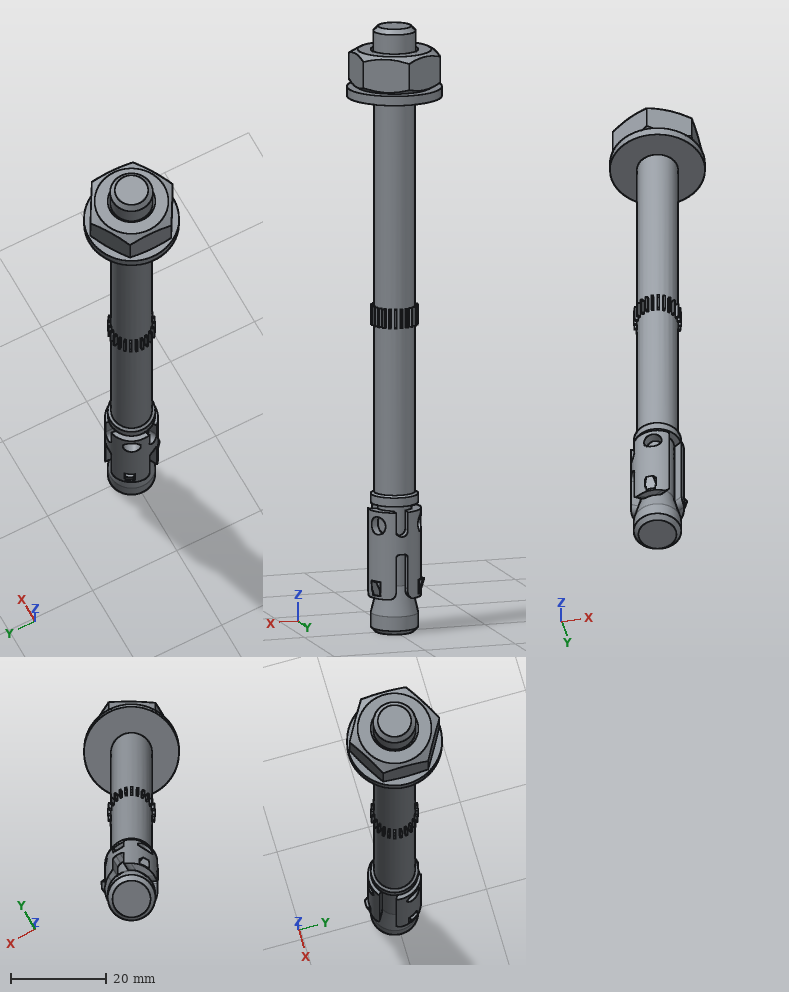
import cadquery as cq
import math

LENGTH = 130.0
SHAFT_DIA = 8.66
STUD_DIA = 9.0
STUD_CHAMFER = 1.0

CONE_DIA = 10.0
CONE_END_CHAMFER = 1.0
CONE_START_Z = 4.1
CONE_TOP_Z = 10.4
NECK_DIA = 7.0

COLLAR_DIA = 10.0
COLLAR_BOTTOM_Z = 27.7
COLLAR_TOP_Z = 30.0
COLLAR_BEVEL_HEIGHT = 0.4

KNURL_DIA = 10.0
KNURL_BOTTOM_Z = 66.0
KNURL_HEIGHT = 4.0
KNURL_TEETH = 24
KNURL_TOOTH_WIDTH = 0.4

WASHER_DIA = 20.0
WASHER_BOTTOM_Z = 115.0
WASHER_THICKNESS = 2.0
NUT_HEIGHT = 8.0
NUT_ACROSS_FLATS = 17.0
NUT_FACE_DIA = 15.5
NUT_CHAMFER_ANGLE = 30.0
NUT_TURN = 30.0
NUT_COUNTERSINK_DIA = 10.0

SLEEVE_DIA = 11.2
SLEEVE_BORE_DIA = 7.3
SLEEVE_BOTTOM_Z = 7.8
SLEEVE_TOP_Z = 26.5
SLOT_ANGLES = (88.5, 208.5)
SPLIT_ANGLE = 328.5
SLOT_WIDTH = 2.6
SPLIT_WIDTH = 3.6
UPPER_SLOT_END_Z = 21.3
LOWER_SLOT_END_Z = 17.5
LOWER_SLOT_CORNER_R = 0.8
SLOT_MOUTH_R = 1.5

SEGMENT_ANGLES = (30.0, 150.0, 270.0)
HOLE_DIA = 3.8
HOLE_Z = 23.5
HOLE_ANGLE_OFFSET = 2.5
BARB_ANGLE_OFFSET = -2.0
BARB_WIDTH = 2.4
BARB_TIP_WIDTH = 1.4
BARB_BOTTOM_Z = 8.4
BARB_TOP_Z = 11.5
BARB_REACH = 0.7
BARB_SINK = 0.4
BARB_WINDOW_WIDTH = 2.0

CUT_REACH = SLEEVE_DIA


def cylinder(diameter, bottom_z, height):
    return cq.Workplane("XY").workplane(offset=bottom_z).circle(diameter / 2).extrude(height)


def point_outward(cutter, angle):
    """Turn a shape built along +X to the given angle about the bolt axis."""
    return cutter.rotate((0, 0, 0), (0, 0, 1), angle)


def radial_plane():
    """Plane square to +X, with local x along Y and local y along Z."""
    return cq.Workplane("YZ")


def make_bolt():
    cone_r = CONE_DIA / 2
    neck_r = NECK_DIA / 2
    collar_r = COLLAR_DIA / 2
    shaft_r = SHAFT_DIA / 2
    stud_r = STUD_DIA / 2
    washer_top_z = WASHER_BOTTOM_Z + WASHER_THICKNESS
    profile = [
        (0, 0),
        (cone_r, 0),
        (cone_r, CONE_START_Z),
        (neck_r, CONE_TOP_Z),
        (neck_r, COLLAR_BOTTOM_Z),
        (collar_r, COLLAR_BOTTOM_Z),
        (collar_r, COLLAR_TOP_Z - COLLAR_BEVEL_HEIGHT),
        (shaft_r, COLLAR_TOP_Z),
        (shaft_r, washer_top_z),
        (stud_r, washer_top_z),
        (stud_r, LENGTH - STUD_CHAMFER),
        (stud_r - STUD_CHAMFER, LENGTH),
        (0, LENGTH),
    ]
    bolt = cq.Workplane("XZ").polyline(profile).close().revolve(360, (0, 0, 0), (0, 1, 0))
    return bolt.faces("<Z").edges().chamfer(CONE_END_CHAMFER)


def make_knurl():
    core = cylinder(SHAFT_DIA, KNURL_BOTTOM_Z, KNURL_HEIGHT)
    envelope = cylinder(KNURL_DIA, KNURL_BOTTOM_Z, KNURL_HEIGHT)
    teeth = (
        cq.Workplane("XY")
        .workplane(offset=KNURL_BOTTOM_Z)
        .polarArray(KNURL_DIA / 2, 0, 360, KNURL_TEETH)
        .rect(KNURL_DIA, KNURL_TOOTH_WIDTH)
        .extrude(KNURL_HEIGHT)
    )
    return core.union(teeth.intersect(envelope))


def make_nut():
    bottom_z = WASHER_BOTTOM_Z + WASHER_THICKNESS
    top_z = bottom_z + NUT_HEIGHT
    corner_r = NUT_ACROSS_FLATS / 2 / math.cos(math.pi / 6)
    face_r = NUT_FACE_DIA / 2
    chamfer_z = (corner_r - face_r) * math.tan(math.radians(NUT_CHAMFER_ANGLE))
    hexagon = (
        cq.Workplane("XY")
        .workplane(offset=bottom_z)
        .polygon(6, 2 * corner_r)
        .extrude(NUT_HEIGHT)
        .rotate((0, 0, 0), (0, 0, 1), NUT_TURN)
    )
    envelope = (
        cq.Workplane("XZ")
        .polyline(
            [
                (0, bottom_z),
                (face_r, bottom_z),
                (corner_r, bottom_z + chamfer_z),
                (corner_r, top_z - chamfer_z),
                (face_r, top_z),
                (0, top_z),
            ]
        )
        .close()
        .revolve(360, (0, 0, 0), (0, 1, 0))
    )
    stud_r = STUD_DIA / 2
    sink_r = NUT_COUNTERSINK_DIA / 2
    countersink = (
        cq.Workplane("XZ")
        .polyline([(stud_r, top_z), (sink_r, top_z), (stud_r, top_z - (sink_r - stud_r))])
        .close()
        .revolve(360, (0, 0, 0), (0, 1, 0))
    )
    return hexagon.intersect(envelope).cut(countersink)


def upper_slot():
    half = SLOT_WIDTH / 2
    arc_z = UPPER_SLOT_END_Z + half
    return (
        radial_plane()
        .moveTo(-half, SLEEVE_TOP_Z)
        .lineTo(-half, arc_z)
        .threePointArc((0, UPPER_SLOT_END_Z), (half, arc_z))
        .lineTo(half, SLEEVE_TOP_Z)
        .close()
        .extrude(CUT_REACH)
    )


def flared_slot(width, end_z):
    """Slot open at the sleeve's bottom, its mouth rounded outward."""
    half = width / 2
    mouth_half = half + SLOT_MOUTH_R
    flare_z = SLEEVE_BOTTOM_Z + SLOT_MOUTH_R
    return (
        radial_plane()
        .moveTo(-half, end_z)
        .lineTo(-half, flare_z)
        .radiusArc((-mouth_half, SLEEVE_BOTTOM_Z), SLOT_MOUTH_R)
        .lineTo(mouth_half, SLEEVE_BOTTOM_Z)
        .radiusArc((half, flare_z), SLOT_MOUTH_R)
        .lineTo(half, end_z)
        .close()
        .extrude(CUT_REACH)
    )


def lower_slot():
    slot = flared_slot(SLOT_WIDTH, LOWER_SLOT_END_Z)
    return slot.edges(">Z and |X").fillet(LOWER_SLOT_CORNER_R)


def segment_hole():
    return radial_plane().center(0, HOLE_Z).circle(HOLE_DIA / 2).extrude(CUT_REACH)


def barb_window():
    height = BARB_TOP_Z - BARB_BOTTOM_Z
    return (
        radial_plane()
        .center(0, BARB_BOTTOM_Z + height / 2)
        .rect(BARB_WINDOW_WIDTH, height)
        .extrude(CUT_REACH)
    )


def barb():
    """Wedge sunk into the sleeve at its bottom and standing proud of it at its top."""
    inner_r = SLEEVE_BORE_DIA / 2
    outer_r = SLEEVE_DIA / 2
    tip_r = outer_r + BARB_REACH
    side_profile = [
        (inner_r, BARB_BOTTOM_Z),
        (outer_r - BARB_SINK, BARB_BOTTOM_Z),
        (tip_r, BARB_TOP_Z),
        (inner_r, BARB_TOP_Z),
    ]
    plan_profile = [
        (inner_r, -BARB_WIDTH / 2),
        (outer_r, -BARB_WIDTH / 2),
        (tip_r, -BARB_TIP_WIDTH / 2),
        (tip_r, BARB_TIP_WIDTH / 2),
        (outer_r, BARB_WIDTH / 2),
        (inner_r, BARB_WIDTH / 2),
    ]
    wedge = cq.Workplane("XZ").polyline(side_profile).close().extrude(BARB_WIDTH / 2, both=True)
    plan = cq.Workplane("XY").polyline(plan_profile).close().extrude(SLEEVE_TOP_Z)
    return wedge.intersect(plan)


def make_sleeve():
    height = SLEEVE_TOP_Z - SLEEVE_BOTTOM_Z
    sleeve = cylinder(SLEEVE_DIA, SLEEVE_BOTTOM_Z, height)
    sleeve = sleeve.cut(cylinder(SLEEVE_BORE_DIA, SLEEVE_BOTTOM_Z, height))
    for angle in SLOT_ANGLES:
        sleeve = sleeve.cut(point_outward(upper_slot(), angle))
        sleeve = sleeve.cut(point_outward(lower_slot(), angle))
    sleeve = sleeve.cut(point_outward(flared_slot(SPLIT_WIDTH, SLEEVE_TOP_Z), SPLIT_ANGLE))
    for angle in SEGMENT_ANGLES:
        sleeve = sleeve.cut(point_outward(segment_hole(), angle + HOLE_ANGLE_OFFSET))
        barb_angle = angle + BARB_ANGLE_OFFSET
        sleeve = sleeve.cut(point_outward(barb_window(), barb_angle))
        sleeve = sleeve.union(point_outward(barb(), barb_angle))
    return sleeve


washer = cylinder(WASHER_DIA, WASHER_BOTTOM_Z, WASHER_THICKNESS)

result = make_bolt().union(make_sleeve()).union(make_knurl()).union(washer).union(make_nut())